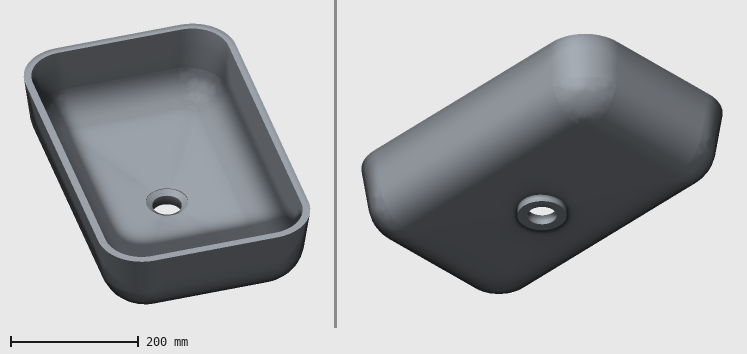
import cadquery as cq

length = 543.0
width = 343.0
total_height = 144.5
wall = 12.0
draft_angle = 6.0
corner_radius = 71.0

body_height = 127.0
bottom_radius = 62.0
floor_drop = 6.5
floor_tip_scale = 0.02

drain_diameter = 77.0
hole_diameter = 46.0
hole_mouth_diameter = 66.0
hole_mouth_depth = 5.5
mouth_z = wall - body_height - floor_drop


def tub(inset):
    """Drafted tub with a rounded, shallowly funnelled bottom, inset from the outside."""
    depth = body_height - inset
    body = (
        cq.Workplane("XY")
        .rect(length - 2 * inset, width - 2 * inset)
        .extrude(-depth, taper=draft_angle)
    )
    body = body.edges("not(#Z)").fillet(corner_radius - inset)
    body = body.faces("<Z").edges().fillet(bottom_radius - inset)

    floor_edge = body.faces("<Z").wires().val()
    funnel_tip = (
        floor_edge.translate(cq.Vector(0, 0, depth))
        .scale(floor_tip_scale)
        .translate(cq.Vector(0, 0, -depth - floor_drop))
    )
    funnel = cq.Solid.makeLoft([floor_edge, funnel_tip], True)
    return body.union(cq.Workplane("XY").add(funnel))


def cylinder_down(diameter, top_z, bottom_z):
    return cq.Workplane("XY", origin=(0, 0, top_z)).circle(diameter / 2).extrude(bottom_z - top_z)


def drain_mouth():
    """Countersink leading from the basin floor into the drain hole."""
    bottom_z = mouth_z - hole_mouth_depth
    cone = cq.Solid.makeCone(
        hole_diameter / 2,
        hole_mouth_diameter / 2,
        hole_mouth_depth,
        pnt=cq.Vector(0, 0, bottom_z),
    )
    clearance = cylinder_down(hole_mouth_diameter, 0, mouth_z)
    return clearance.union(cq.Workplane("XY").add(cone))


drain = cylinder_down(drain_diameter, wall - body_height, -total_height)
drain_hole = cylinder_down(hole_diameter, 0, -total_height)

result = tub(0).union(drain).cut(tub(wall)).cut(drain_hole).cut(drain_mouth())